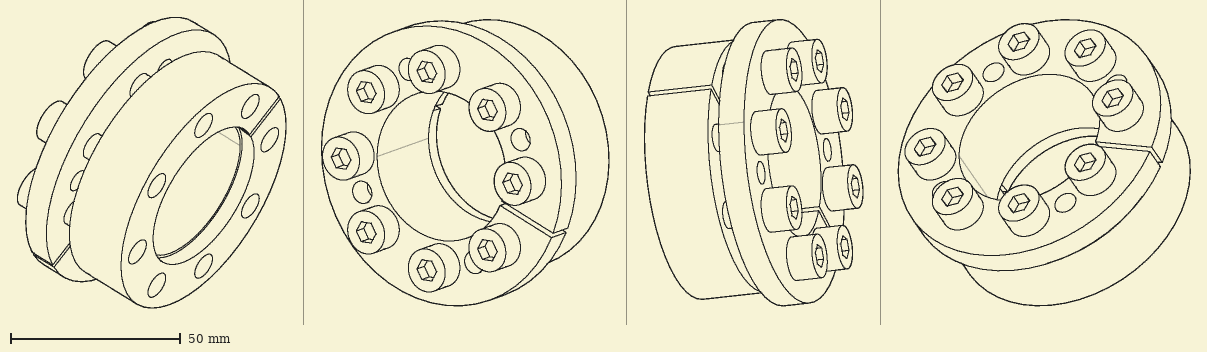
import cadquery as cq
import math

flange_thickness = 8.0
gap = 5.0
clamp_ring_length = 20.0
head_length = 8.0
ring_front = flange_thickness + gap
ring_back = ring_front + clamp_ring_length

flange_radius = 42.0
bore_radius = 22.5
taper_start_radius = 25.1
taper_angle = 5.0
sleeve_end_setback = 5.0
sleeve_end = ring_back - sleeve_end_setback

clamp_ring_radius = 37.4

slit_width = 1.5

pitch_radius = 30.0
screw_count = 8
head_radius = 6.5
shank_radius = 4.0
socket_flats = 6.0
socket_sides = 6
socket_depth = 4.0
jacking_hole_count = 4
jacking_hole_radius = 3.35

screw_step = 360.0 / screw_count
slit_angle = 180.0 + screw_step / 2
jacking_step = 360.0 / jacking_hole_count
jacking_start = screw_step / 2 + screw_step


def taper_radius(x):
    """Radius of the cone shared by the sleeve and the clamp ring."""
    return taper_start_radius - (x - flange_thickness) * math.tan(math.radians(taper_angle))


def cylinder(radius, x_start, x_end):
    """Solid cylinder on the X axis."""
    return cq.Workplane("YZ", origin=(x_start, 0, 0)).circle(radius).extrude(x_end - x_start)


def cone(x_start, x_end):
    """Solid piece of the shared cone between two positions along X."""
    profile = [
        (x_start, 0),
        (x_start, taper_radius(x_start)),
        (x_end, taper_radius(x_end)),
        (x_end, 0),
    ]
    return cq.Workplane("XY").polyline(profile).close().revolve(360, (0, 0, 0), (1, 0, 0))


def at_pitch(body, angle):
    """Move a body from the X axis to the pitch circle, keeping its own orientation."""
    turn = math.radians(angle)
    return body.translate((0, pitch_radius * math.cos(turn), pitch_radius * math.sin(turn)))


def slit(angle):
    """Radial slot cutter that opens one side of a ring along its whole length."""
    cutter = cq.Workplane("XY").box(ring_back, flange_radius, slit_width, centered=(False, False, True))
    return cutter.rotate((0, 0, 0), (1, 0, 0), angle)


screw_angles = [i * screw_step for i in range(screw_count)]
jacking_angles = [jacking_start + i * jacking_step for i in range(jacking_hole_count)]


def make_sleeve():
    """Flange and tapered sleeve in one piece, bored, drilled and slit."""
    body = cylinder(flange_radius, 0, flange_thickness).union(cone(flange_thickness, sleeve_end))
    body = body.cut(cylinder(bore_radius, 0, sleeve_end))
    for angle in screw_angles:
        body = body.cut(at_pitch(cylinder(shank_radius, 0, flange_thickness), angle))
    for angle in jacking_angles:
        body = body.cut(at_pitch(cylinder(jacking_hole_radius, 0, flange_thickness), angle))
    return body.cut(slit(slit_angle))


def make_clamp_ring():
    """Ring with a tapered bore, screw holes and a slit."""
    body = cylinder(clamp_ring_radius, ring_front, ring_back).cut(cone(ring_front, ring_back))
    for angle in screw_angles:
        body = body.cut(at_pitch(cylinder(shank_radius, ring_front, ring_back), angle))
    return body.cut(slit(slit_angle + 180.0))


def make_screw(angle):
    """Socket head screw, its shank ending flush with the back of the clamp ring."""
    body = cylinder(head_radius, -head_length, 0).union(cylinder(shank_radius, 0, ring_back))
    socket_corners = socket_flats / math.cos(math.radians(180 / socket_sides))
    socket = cq.Workplane("YZ", origin=(-head_length, 0, 0)).polygon(socket_sides, socket_corners)
    body = body.cut(socket.extrude(socket_depth))
    return at_pitch(body, angle)


sleeve = make_sleeve()
clamp_ring = make_clamp_ring()
screws = [make_screw(angle) for angle in screw_angles]

result = cq.Compound.makeCompound(
    [sleeve.val(), clamp_ring.val(), *[screw.val() for screw in screws]]
)